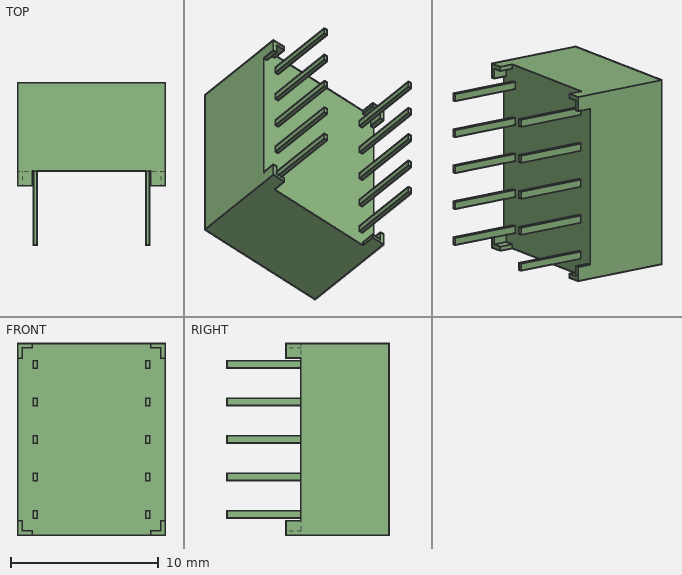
import cadquery as cq

body_width = 10.0
body_depth = 6.0
body_height = 13.0

foot_leg = 1.0
foot_thickness = 0.3
foot_length = 1.0

pin_width = 0.25
pin_height = 0.5
pin_length = 5.0
pin_pitch = 2.54
pins_per_column = 5
column_spacing = 7.62


def make_body():
    """Block centred on X and Z, extending from the pin face toward +Y."""
    return cq.Workplane("XY").box(
        body_width, body_depth, body_height, centered=(True, False, True)
    )


def make_foot(side_x, side_z):
    """L-shaped foot at the body corner chosen by the signs side_x and side_z."""
    corner_x = side_x * body_width / 2
    corner_z = side_z * body_height / 2
    leg_x = corner_x - side_x * foot_leg
    leg_z = corner_z - side_z * foot_leg
    inner_x = corner_x - side_x * foot_thickness
    inner_z = corner_z - side_z * foot_thickness
    outline = [
        (corner_x, corner_z),
        (leg_x, corner_z),
        (leg_x, inner_z),
        (inner_x, inner_z),
        (inner_x, leg_z),
        (corner_x, leg_z),
    ]
    return cq.Workplane("XZ").polyline(outline).close().extrude(foot_length)


def make_pins():
    """Both columns of leads, projecting from the pin face toward -Y."""
    return (
        cq.Workplane("XZ")
        .rarray(column_spacing, pin_pitch, 2, pins_per_column)
        .rect(pin_width, pin_height)
        .extrude(pin_length)
    )


result = make_body().union(make_pins())
for side_x in (-1, 1):
    for side_z in (-1, 1):
        result = result.union(make_foot(side_x, side_z))